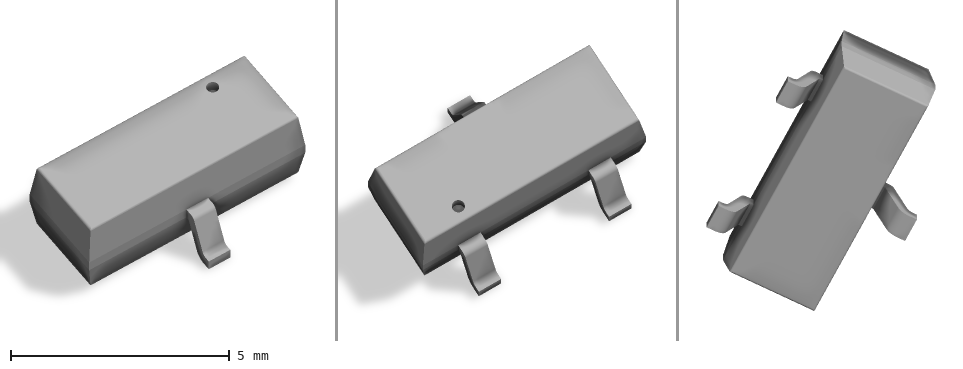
import cadquery as cq
import math

BODY_LENGTH = 6.0
BODY_WIDTH = 2.4
BODY_BOTTOM = 0.18
BODY_TOP = 2.3
TAPER_INSET = 0.12
TOP_EDGE_RADIUS = 0.06
BOTTOM_EDGE_RADIUS = 0.05

LEAD_SPAN = 4.2
LEAD_THICKNESS = 0.29
LEAD_WIDTH = 0.6
LEAD_TOP = 1.27
LEAD_SPACING = 3.5
SHOULDER_X = 1.475
ANKLE_X = 1.89
BEND_RADIUS = 0.15
HEEL_RADIUS = 0.3

MARK_DIAMETER = 0.3
MARK_DEPTH = 0.3
MARK_X = -0.72

BELT_TOP = LEAD_TOP
BELT_BOTTOM = LEAD_TOP - LEAD_THICKNESS


def tapered_half(start_z, end_z):
    """Half of the body, narrowing from the belt to an end face."""
    return (
        cq.Workplane("XY", origin=(0, 0, start_z))
        .rect(BODY_WIDTH, BODY_LENGTH)
        .workplane(offset=end_z - start_z)
        .rect(BODY_WIDTH - 2 * TAPER_INSET, BODY_LENGTH - 2 * TAPER_INSET)
        .loft(ruled=True)
    )


def make_body():
    """Moulded body with rounded end-face edges and a blind round mark."""
    belt = (
        cq.Workplane("XY", origin=(0, 0, BELT_BOTTOM))
        .rect(BODY_WIDTH, BODY_LENGTH)
        .extrude(LEAD_THICKNESS)
    )
    upper = tapered_half(BELT_TOP, BODY_TOP).faces(">Z").edges().fillet(TOP_EDGE_RADIUS)
    lower = tapered_half(BELT_BOTTOM, BODY_BOTTOM).faces("<Z").edges().fillet(BOTTOM_EDGE_RADIUS)
    mark = (
        cq.Workplane("XY", origin=(MARK_X, LEAD_SPACING / 2, BODY_TOP - MARK_DEPTH))
        .circle(MARK_DIAMETER / 2)
        .extrude(MARK_DEPTH)
    )
    return belt.union(upper).union(lower).cut(mark)


def make_lead(center_y):
    """Lead on the +X side, from the body wall down to its foot at Z = 0."""
    slope = math.atan2(LEAD_TOP - LEAD_THICKNESS, ANKLE_X - SHOULDER_X)
    corner_shift = LEAD_THICKNESS * math.tan(slope / 2)
    heel_x = ANKLE_X - corner_shift
    wall_x = BODY_WIDTH / 2
    tip_x = LEAD_SPAN / 2
    lead = (
        cq.Workplane("XZ", origin=(0, center_y + LEAD_WIDTH / 2, 0))
        .moveTo(wall_x, LEAD_TOP)
        .lineTo(SHOULDER_X, LEAD_TOP)
        .lineTo(ANKLE_X, LEAD_THICKNESS)
        .lineTo(tip_x, LEAD_THICKNESS)
        .lineTo(tip_x, 0)
        .lineTo(heel_x, 0)
        .lineTo(SHOULDER_X - corner_shift, BELT_BOTTOM)
        .lineTo(wall_x, BELT_BOTTOM)
        .close()
        .extrude(LEAD_WIDTH)
    )
    for corner_x, corner_z, radius in (
        (SHOULDER_X, LEAD_TOP, BEND_RADIUS),
        (ANKLE_X, LEAD_THICKNESS, BEND_RADIUS),
        (heel_x, 0, HEEL_RADIUS),
    ):
        corner = cq.selectors.NearestToPointSelector((corner_x, center_y, corner_z))
        lead = lead.edges("|Y").edges(corner).fillet(radius)
    return lead


body = make_body()

leads = [make_lead(0)]
for side in (-1, 1):
    lead = make_lead(side * LEAD_SPACING / 2)
    leads.append(lead.mirror("YZ"))

result = cq.Compound.makeCompound([body.val(), *[lead.val() for lead in leads]])